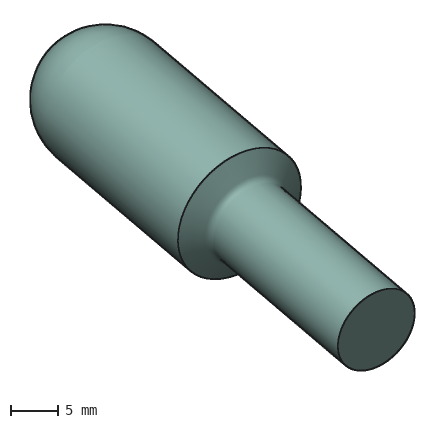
import cadquery as cq
import math

overall_length = 57.5
body_diameter = 16.0
shank_diameter = 10.0
shoulder_start = 32.5
shoulder_angle = 60.0
neck_radius = 1.0

body_radius = body_diameter / 2
shank_radius = shank_diameter / 2
slope = math.radians(shoulder_angle)

cone_end_radius = shank_radius + neck_radius * (1 - math.cos(slope))
cone_end = shoulder_start + (body_radius - cone_end_radius) / math.tan(slope)
neck_end = cone_end + neck_radius * math.sin(slope)
neck_mid = (
    neck_end - neck_radius * math.sin(slope / 2),
    shank_radius + neck_radius * (1 - math.cos(slope / 2)),
)


def half_profile():
    """Closed half section above the X axis, from nose tip to shank end."""
    nose_mid = (
        body_radius * (1 - math.cos(math.pi / 4)),
        body_radius * math.sin(math.pi / 4),
    )
    return (
        cq.Workplane("XZ")
        .moveTo(0, 0)
        .threePointArc(nose_mid, (body_radius, body_radius))
        .lineTo(shoulder_start, body_radius)
        .lineTo(cone_end, cone_end_radius)
        .threePointArc(neck_mid, (neck_end, shank_radius))
        .lineTo(overall_length, shank_radius)
        .lineTo(overall_length, 0)
        .close()
    )


result = half_profile().revolve(360, (0, 0, 0), (1, 0, 0))